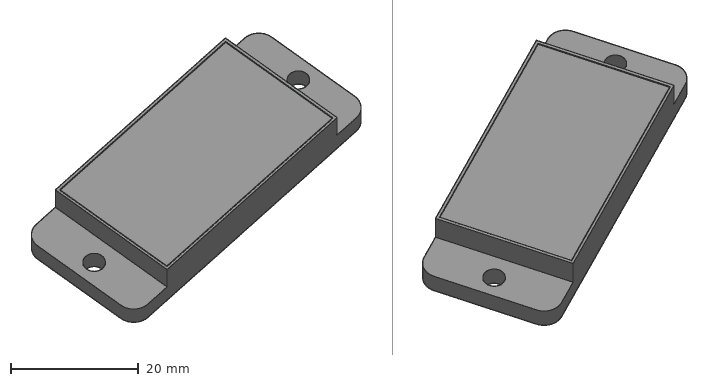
import cadquery as cq

length = 55.0
width = 23.5
base_thickness = 3.45
corner_radius = 3.0

total_height = 8.0
body_length = 40.0

rim_width = 0.5
recess_depth = 0.2

hole_diameter = 3.5
hole_spacing = 48.0


def make_base():
    """Flat plate with rounded vertical corners."""
    plate = cq.Workplane("XY").box(width, length, base_thickness, centered=(True, True, False))
    return plate.edges("|Z").fillet(corner_radius)


def make_body():
    """Full-height block across the middle of the base."""
    return cq.Workplane("XY").box(width, body_length, total_height, centered=(True, True, False))


def cut_recess(part):
    return (
        part.faces(">Z")
        .workplane(origin=(0, 0, total_height))
        .rect(width - 2 * rim_width, body_length - 2 * rim_width)
        .cutBlind(-recess_depth)
    )


def cut_mounting_holes(part):
    """One through hole in each end tab."""
    return (
        part.faces("<Z")
        .workplane(origin=(0, 0, 0))
        .pushPoints([(0, -hole_spacing / 2), (0, hole_spacing / 2)])
        .hole(hole_diameter)
    )


result = cut_mounting_holes(cut_recess(make_base().union(make_body())))